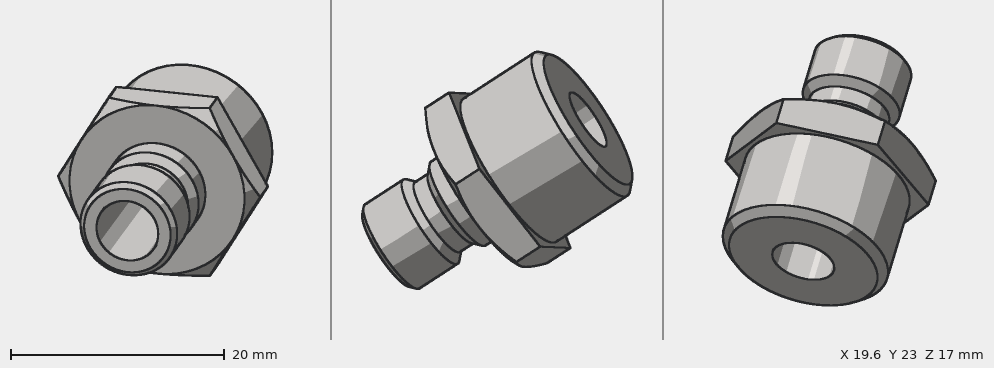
import cadquery as cq
import math

total_length = 23.0
thread_length = 9.0
hex_thickness = 3.5
nose_length = total_length - thread_length - hex_thickness

across_flats = 17.0
across_corners = across_flats / math.cos(math.radians(30))
hex_chamfer_angle = 30.0

nose_radius = 4.7
tip_chamfer = 0.5
groove_radius = 3.9
groove_start = 4.9
groove_end = 8.1
groove_slope = nose_radius - groove_radius

thread_radius = 8.0
thread_pitch = 1.5
thread_depth = 5 / 8 * thread_pitch * math.cos(math.radians(30))
thread_chamfer = thread_depth
bore_radius = 3.0


def revolve_about_y(profile):
    """Revolve a closed (radius, y) outline around the Y axis."""
    outline = cq.Workplane("XY").polyline(profile).close()
    return outline.revolve(360, (0, 0, 0), (0, 1, 0))


def make_nose():
    """Plug nose with a chamfered tip and a groove with sloped flanks."""
    return revolve_about_y([
        (0, 0),
        (nose_radius - tip_chamfer, 0),
        (nose_radius, tip_chamfer),
        (nose_radius, groove_start),
        (groove_radius, groove_start + groove_slope),
        (groove_radius, groove_end - groove_slope),
        (nose_radius, groove_end),
        (nose_radius, nose_length),
        (0, nose_length),
    ])


def make_hex():
    """Hexagon with corners on the X axis, its front corners cut by a cone."""
    hex_back = nose_length + hex_thickness
    prism = (
        cq.Workplane("XZ", origin=(0, hex_back, 0))
        .polygon(6, across_corners)
        .extrude(hex_thickness)
    )
    face_radius = across_flats / 2
    outer_radius = across_corners
    cone_rise = (outer_radius - face_radius) * math.tan(math.radians(hex_chamfer_angle))
    cone_end = nose_length + cone_rise
    corner_cone = revolve_about_y([
        (0, nose_length),
        (face_radius, nose_length),
        (outer_radius, cone_end),
        (0, cone_end),
    ])
    return prism.intersect(corner_cone)


def make_threaded_end():
    """Cylinder behind the hexagon with a chamfered rear edge."""
    thread_start = total_length - thread_length
    return revolve_about_y([
        (0, thread_start),
        (thread_radius, thread_start),
        (thread_radius, total_length - thread_chamfer),
        (thread_radius - thread_chamfer, total_length),
        (0, total_length),
    ])


def make_bore():
    """Straight bore through the whole length."""
    return cq.Workplane("XZ").circle(bore_radius).extrude(-total_length)


result = make_nose().union(make_hex()).union(make_threaded_end()).cut(make_bore())